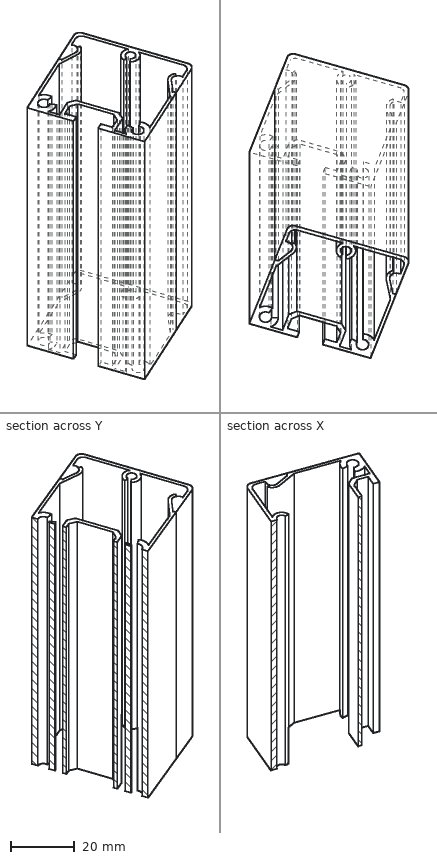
import cadquery as cq
import math

width = 40.0
depth = 39.0
length = 100.0
half_width = width / 2

side_wall = 1.1
top_wall = 1.3
bottom_wall = 1.1
outer_corner_radius = 2.0
inner_corner_radius = 2.0
inner_half_width = half_width - side_wall

split_y = 25.0
snap_radius = 2.0
snap_inset = 1.9
snap_y = 30.6
arm_thickness = 1.1
arm_end_angle = 52.0

lid_boss_y = 35.3
lid_boss_radius = 3.0
lid_screw_radius = 1.6
lid_boss_opening = (250.0, 290.0)

corner_boss_inset = 4.0
corner_boss_radius = 4.0
corner_screw_radius = 1.9
corner_boss_opening = (14.0, 75.0)

channel_half_width = 9.4
channel_height = 9.2
channel_wall = 1.3
channel_chamfer = 2.0
lip_thickness = 2.2
slot_half_width = 4.2


def polar(center, radius, angle):
    """Point at an angle in degrees on a circle."""
    a = math.radians(angle)
    return (center[0] + radius * math.cos(a), center[1] + radius * math.sin(a))


def block(x_min, x_max, y_min, y_max):
    """Full-length block over a rectangle in the section."""
    return (
        cq.Workplane("XY")
        .center((x_min + x_max) / 2, (y_min + y_max) / 2)
        .rect(x_max - x_min, y_max - y_min)
        .extrude(length)
    )


def cylinder(center, radius):
    """Full-length cylinder."""
    return cq.Workplane("XY").center(*center).circle(radius).extrude(length)


def mirrored(left):
    """The left-hand shape together with its right-hand mirror image."""
    return left.union(left.mirror("YZ"))


def screw_opening(center, hole_radius, boss_radius, opening):
    """Screw hole plus the radial wedge that opens it through the boss wall."""
    start, end = opening
    reach = 2 * boss_radius
    wedge = (
        cq.Workplane("XY")
        .polyline([center, polar(center, reach, start), polar(center, reach, end)])
        .close()
        .extrude(length)
    )
    return cylinder(center, hole_radius).union(wedge)


snap_center = (-half_width + snap_inset, snap_y)
ramp_foot = (-inner_half_width, split_y)
foot_dx = snap_center[0] - ramp_foot[0]
foot_dy = snap_center[1] - ramp_foot[1]
foot_distance = math.hypot(foot_dx, foot_dy)
ramp_angle = math.degrees(math.atan2(foot_dy, foot_dx) - math.asin(snap_radius / foot_distance))
tangent_angle = ramp_angle - 90
arm_radius = snap_radius + arm_thickness
arm_foot_y = split_y - arm_thickness / math.cos(math.radians(ramp_angle))


def snap_bead():
    """Bead on the left lid wall, filling the wall down to the split."""
    return (
        cq.Workplane("XY")
        .moveTo(-half_width, split_y)
        .lineTo(*ramp_foot)
        .lineTo(*polar(snap_center, snap_radius, tangent_angle))
        .threePointArc(
            polar(snap_center, snap_radius, (tangent_angle + 90) / 2),
            polar(snap_center, snap_radius, 90),
        )
        .lineTo(-half_width, snap_y + snap_radius)
        .close()
        .extrude(length)
    )


def snap_arm():
    """Arm on the left base wall that hugs the bead."""
    middle_angle = (tangent_angle + arm_end_angle) / 2
    return (
        cq.Workplane("XY")
        .moveTo(*ramp_foot)
        .lineTo(*polar(snap_center, snap_radius, tangent_angle))
        .threePointArc(
            polar(snap_center, snap_radius, middle_angle),
            polar(snap_center, snap_radius, arm_end_angle),
        )
        .lineTo(*polar(snap_center, arm_radius, arm_end_angle))
        .threePointArc(
            polar(snap_center, arm_radius, middle_angle),
            polar(snap_center, arm_radius, tangent_angle),
        )
        .lineTo(-inner_half_width, arm_foot_y)
        .close()
        .extrude(length)
    )


def make_lid():
    """Top wall, upper side walls, snap beads and central screw boss."""
    shell = block(-half_width, half_width, split_y, depth)
    shell = shell.edges("|Z and >Y").fillet(outer_corner_radius)
    cavity = block(-inner_half_width, inner_half_width, 0, depth - top_wall)
    cavity = cavity.edges("|Z and >Y").fillet(inner_corner_radius)
    boss_center = (0, lid_boss_y)
    lid = shell.cut(cavity).union(mirrored(snap_bead()))
    lid = lid.union(cylinder(boss_center, lid_boss_radius))
    return lid.cut(screw_opening(boss_center, lid_screw_radius, lid_boss_radius, lid_boss_opening))


def channel_profile(half_span, height):
    """Solid channel outline with chamfered top corners."""
    return block(-half_span, half_span, 0, height).edges("|Z and >Y").chamfer(channel_chamfer)


def corner_boss():
    """Left corner boss, with the corner behind it filled."""
    center = (-half_width + corner_boss_inset, corner_boss_inset)
    corner = block(-half_width, center[0], 0, center[1])
    boss = cylinder(center, corner_boss_radius).union(corner)
    return boss.cut(
        screw_opening(center, corner_screw_radius, corner_boss_radius, corner_boss_opening)
    )


def make_base():
    """Lower side walls, bottom wall, snap arms, corner bosses and slotted channel."""
    side = block(-half_width, -inner_half_width, 0, split_y)
    base = block(-half_width, half_width, 0, bottom_wall)
    base = base.union(mirrored(side.union(snap_arm()).union(corner_boss())))
    base = base.union(channel_profile(channel_half_width, channel_height))
    hollow = channel_profile(channel_half_width - channel_wall, channel_height - channel_wall)
    hollow = hollow.cut(block(-half_width, half_width, 0, lip_thickness))
    slot = block(-slot_half_width, slot_half_width, 0, lip_thickness)
    return base.cut(hollow).cut(slot)


lid = make_lid()
base = make_base()

result = cq.Compound.makeCompound([lid.val(), base.val()])